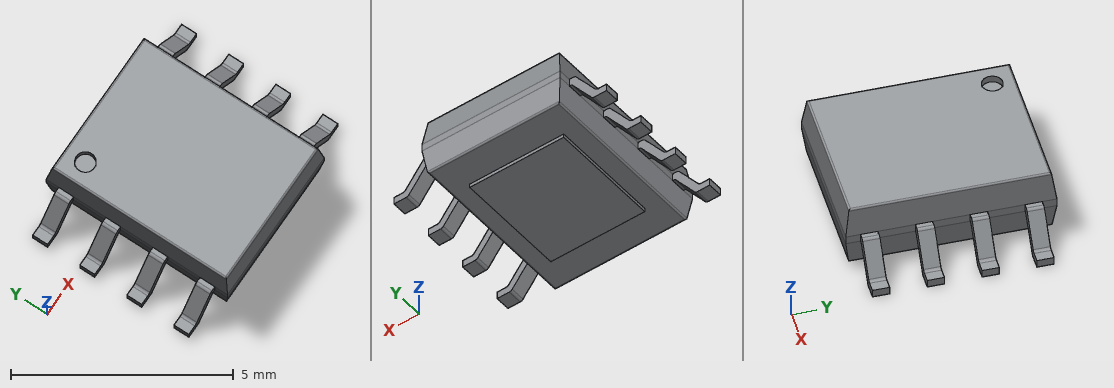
import cadquery as cq
import math

span_x = 6.0
height = 1.7

housing_x = 3.9
housing_y = 4.9
standoff = 0.1
draft_angle = 8.0
edge_radius = 0.045

mark_diameter = 0.485
mark_depth = 0.175
mark_x = -1.32
mark_y = 1.81

leads_per_side = 4
lead_pitch = 1.27
lead_width = 0.4
lead_thickness = 0.205
lead_top = 0.97
foot_length = 0.295
leg_angle = 52.4
bend_radius = 0.1

pad_x = 2.65
pad_y = 3.0

band_top = lead_top
band_bottom = lead_top - lead_thickness


def make_tapered_half(band_z, end_z):
    """Half of the housing, narrowing from the band to a rounded end face."""
    half = (
        cq.Workplane("XY")
        .rect(housing_x, housing_y)
        .extrude(abs(end_z - band_z), taper=draft_angle)
        .faces(">Z")
        .fillet(edge_radius)
    )
    if end_z < band_z:
        half = half.mirror("XY")
    return half.translate((0, 0, band_z))


def make_housing():
    band = (
        cq.Workplane("XY", origin=(0, 0, band_bottom))
        .rect(housing_x, housing_y)
        .extrude(lead_thickness)
    )
    mark = (
        cq.Workplane("XY", origin=(mark_x, mark_y, height - mark_depth))
        .circle(mark_diameter / 2)
        .extrude(mark_depth)
    )
    upper = make_tapered_half(band_top, height)
    lower = make_tapered_half(band_bottom, standoff)
    return band.union(upper).union(lower).cut(mark)


def make_lead(side, y):
    """One lead; side is -1 for the -X row and +1 for the +X row."""
    tip_x = span_x / 2
    root_x = housing_x / 2
    slope = math.radians(leg_angle)
    bend_offset = lead_thickness * math.tan(slope / 2)
    foot_bend_x = tip_x - foot_length
    shoulder_bend_x = foot_bend_x - (lead_top - lead_thickness) / math.tan(slope)
    foot_upper_bend = (foot_bend_x, lead_thickness)
    shoulder_upper_bend = (shoulder_bend_x, lead_top)
    shoulder_lower_bend = (shoulder_bend_x - bend_offset, band_bottom)
    foot_lower_bend = (foot_bend_x - bend_offset, 0)
    outline = [
        (tip_x, 0),
        (tip_x, lead_thickness),
        foot_upper_bend,
        shoulder_upper_bend,
        (root_x, lead_top),
        (root_x, band_bottom),
        shoulder_lower_bend,
        foot_lower_bend,
    ]
    lead = (
        cq.Workplane("XZ", origin=(0, lead_width / 2, 0))
        .polyline(outline)
        .close()
        .extrude(lead_width)
    )
    for x, z in (foot_upper_bend, shoulder_upper_bend, shoulder_lower_bend, foot_lower_bend):
        bend_edge = cq.selectors.NearestToPointSelector((x, 0, z))
        lead = lead.edges("|Y").edges(bend_edge).fillet(bend_radius)
    if side < 0:
        lead = lead.mirror("YZ")
    return lead.translate((0, y, 0))


def make_pad():
    return cq.Workplane("XY").rect(pad_x, pad_y).extrude(standoff)


housing = make_housing()
pad = make_pad()
leads = []
for side in (-1, 1):
    for row in range(leads_per_side):
        row_y = (row - (leads_per_side - 1) / 2) * lead_pitch
        leads.append(make_lead(side, row_y).val())

result = cq.Compound.makeCompound([housing.val(), pad.val(), *leads])